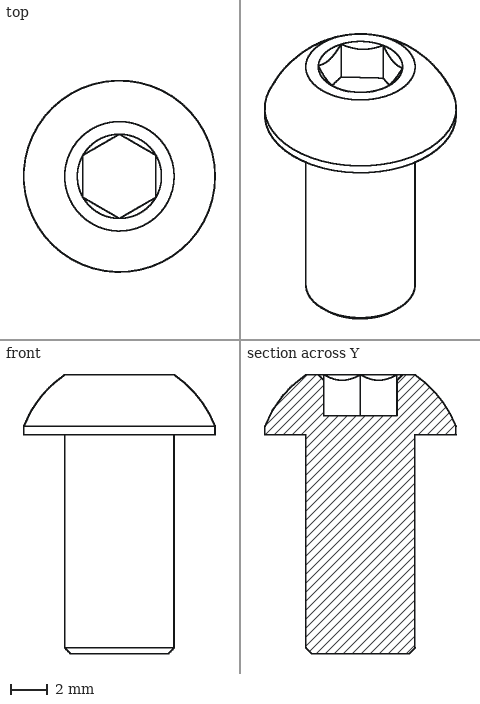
import cadquery as cq
import math

shank_diameter = 6.0
shank_length = 12.0
tip_chamfer = 0.33

head_diameter = 10.5
head_height = 3.3
rim_height = 0.47
crown_diameter = 6.0
dome_bulge = 0.27

socket_across_flats = 4.0
socket_depth = 2.25
countersink_angle = 45.0

socket_across_corners = socket_across_flats / math.cos(math.radians(30))


def make_body():
    """Revolve the half profile of the shank and domed head about Z."""
    shank_radius = shank_diameter / 2
    head_radius = head_diameter / 2
    crown_radius = crown_diameter / 2

    chord_run = head_radius - crown_radius
    chord_rise = head_height - rim_height
    chord_length = math.hypot(chord_run, chord_rise)
    dome_middle = (
        (head_radius + crown_radius) / 2 + dome_bulge * chord_rise / chord_length,
        (rim_height + head_height) / 2 + dome_bulge * chord_run / chord_length,
    )

    profile = (
        cq.Workplane("XZ")
        .moveTo(0, -shank_length)
        .lineTo(shank_radius - tip_chamfer, -shank_length)
        .lineTo(shank_radius, tip_chamfer - shank_length)
        .lineTo(shank_radius, 0)
        .lineTo(head_radius, 0)
        .lineTo(head_radius, rim_height)
        .threePointArc(dome_middle, (crown_radius, head_height))
        .lineTo(0, head_height)
        .close()
    )
    return profile.revolve(360, (0, 0, 0), (0, 1, 0))


def make_socket():
    """Hexagonal socket with corners on the Y axis."""
    return (
        cq.Workplane("XY", origin=(0, 0, head_height))
        .transformed(rotate=(0, 0, 90))
        .polygon(6, socket_across_corners)
        .extrude(-socket_depth)
    )


def make_countersink():
    """Entry cone narrowing from the hexagon corners at the crown face to its flats."""
    entry_radius = socket_across_corners / 2
    end_radius = socket_across_flats / 2
    cone_depth = (entry_radius - end_radius) * math.tan(math.radians(countersink_angle))
    return (
        cq.Workplane("XZ", origin=(0, 0, head_height))
        .lineTo(entry_radius, 0)
        .lineTo(end_radius, -cone_depth)
        .lineTo(0, -cone_depth)
        .close()
        .revolve(360, (0, 0, 0), (0, 1, 0))
    )


result = make_body().cut(make_socket()).cut(make_countersink())